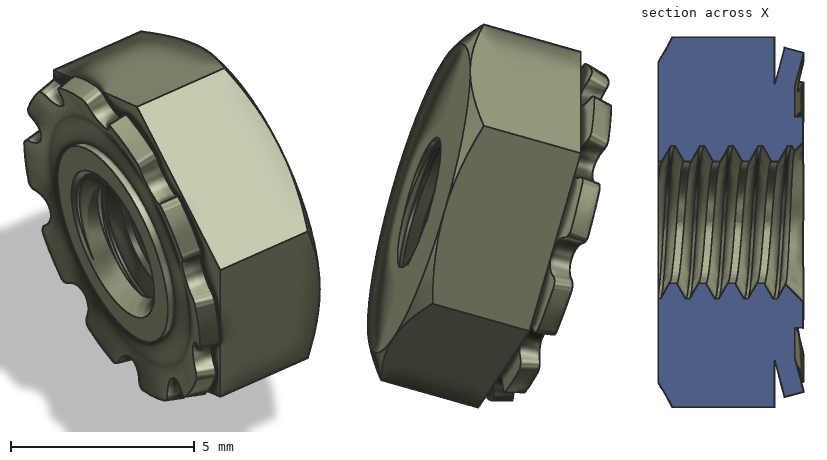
import math
import cadquery as cq


ACROSS_FLATS = 8.73
ACROSS_CORNERS = ACROSS_FLATS / math.cos(math.pi / 6)
NUT_THICKNESS = 3.175
CORNER_CHAMFER_ANGLE = math.radians(30)

COLLAR_RADIUS = 2.885
COLLAR_HEIGHT = 0.77

MINOR_RADIUS = 1.655
MAJOR_RADIUS = 2.08
PITCH = 25.4 / 32
COUNTERSINK_RADIUS = 2.17
COUNTERSINK_ANGLE = math.radians(45)
FLANK_ANGLE = math.radians(30)
ROOT_FLAT = PITCH / 8
GROOVE_OVERLAP = 0.1
THREAD_START_ANGLE = -95

TOTAL_DEPTH = 3.97
WASHER_HEIGHT = TOTAL_DEPTH - NUT_THICKNESS
TIP_RADIUS = 4.76
DISH_ANGLE = math.radians(15)
FLAT_RING_RADIUS = 3.69
WASHER_THICKNESS = 0.55

TOOTH_COUNT = 10
SCALLOP_RADIUS = 0.56
SCALLOP_CENTRE_RADIUS = 4.57
FIRST_SCALLOP_ANGLE = 28.5
TOOTH_CORNER_RADIUS = 0.25


def make_nut():
    """Hexagonal body, chamfered on the corners of its plain face, plus the collar."""
    corner_radius = ACROSS_CORNERS / 2
    flat_radius = ACROSS_FLATS / 2
    chamfer_height = (corner_radius - flat_radius) * math.tan(CORNER_CHAMFER_ANGLE)
    hexagon = (
        cq.Workplane("XY")
        .polygon(6, ACROSS_CORNERS)
        .extrude(-NUT_THICKNESS)
        .rotate((0, 0, 0), (0, 0, 1), 90)
    )
    envelope = (
        cq.Workplane("XZ")
        .moveTo(0, 0)
        .lineTo(corner_radius, 0)
        .lineTo(corner_radius, chamfer_height - NUT_THICKNESS)
        .lineTo(flat_radius, -NUT_THICKNESS)
        .lineTo(0, -NUT_THICKNESS)
        .close()
        .revolve(360, (0, 0), (0, 1))
    )
    collar = cq.Workplane("XY").circle(COLLAR_RADIUS).extrude(COLLAR_HEIGHT)
    return hexagon.intersect(envelope).union(collar)


def make_washer():
    """Dished ring with square-cut rim and rounded scallops between the teeth."""
    front_tip_radius = TIP_RADIUS - WASHER_THICKNESS * math.sin(DISH_ANGLE)
    back_tip_height = WASHER_HEIGHT - WASHER_THICKNESS * math.cos(DISH_ANGLE)
    back_bend_radius = TIP_RADIUS - back_tip_height / math.tan(DISH_ANGLE)
    flat_height = WASHER_HEIGHT - (front_tip_radius - FLAT_RING_RADIUS) * math.tan(DISH_ANGLE)
    ring = (
        cq.Workplane("XZ")
        .moveTo(COLLAR_RADIUS, 0)
        .lineTo(back_bend_radius, 0)
        .lineTo(TIP_RADIUS, back_tip_height)
        .lineTo(front_tip_radius, WASHER_HEIGHT)
        .lineTo(FLAT_RING_RADIUS, flat_height)
        .lineTo(COLLAR_RADIUS, flat_height)
        .close()
        .revolve(360, (0, 0), (0, 1))
    )
    scallops = (
        cq.Workplane("XY")
        .polarArray(SCALLOP_CENTRE_RADIUS, 0, 360, TOOTH_COUNT)
        .circle(SCALLOP_RADIUS)
        .extrude(WASHER_HEIGHT)
    )
    toothed = ring.cut(scallops)

    rim_middle_radius = (TIP_RADIUS + front_tip_radius) / 2
    rim_middle_height = (back_tip_height + WASHER_HEIGHT) / 2
    tolerance = WASHER_THICKNESS / 10

    def is_tooth_corner(edge):
        middle = edge.positionAt(0.5)
        radial_error = math.hypot(middle.x, middle.y) - rim_middle_radius
        height_error = middle.z - rim_middle_height
        return math.hypot(radial_error, height_error) < tolerance

    corners = [edge for edge in toothed.edges().vals() if is_tooth_corner(edge)]
    rounded = toothed.newObject(corners).fillet(TOOTH_CORNER_RADIUS)
    return rounded.rotate((0, 0, 0), (0, 0, 1), FIRST_SCALLOP_ANGLE)


def make_countersink():
    """Cone that opens the collar end of the bore."""
    depth = (COUNTERSINK_RADIUS - MINOR_RADIUS) / math.tan(COUNTERSINK_ANGLE)
    return (
        cq.Workplane("XZ")
        .moveTo(0, COLLAR_HEIGHT - depth)
        .lineTo(MINOR_RADIUS, COLLAR_HEIGHT - depth)
        .lineTo(COUNTERSINK_RADIUS, COLLAR_HEIGHT)
        .lineTo(0, COLLAR_HEIGHT)
        .close()
        .revolve(360, (0, 0), (0, 1))
    )


def make_bore():
    """Plain minor-diameter hole through the nut and its collar."""
    bottom = cq.Workplane("XY").workplane(offset=-NUT_THICKNESS)
    return bottom.circle(MINOR_RADIUS).extrude(NUT_THICKNESS + COLLAR_HEIGHT)


def make_thread_groove():
    """Helical right-hand groove running past both ends of the bore."""
    inner_radius = MINOR_RADIUS - GROOVE_OVERLAP
    half_root = ROOT_FLAT / 2
    half_mouth = half_root + (MAJOR_RADIUS - inner_radius) * math.tan(FLANK_ANGLE)
    start = -NUT_THICKNESS - PITCH
    length = NUT_THICKNESS + COLLAR_HEIGHT + 2 * PITCH
    path = cq.Wire.makeHelix(PITCH, length, MINOR_RADIUS, cq.Vector(0, 0, start))
    return (
        cq.Workplane("XZ")
        .polyline([
            (inner_radius, start - half_mouth),
            (MAJOR_RADIUS, start - half_root),
            (MAJOR_RADIUS, start + half_root),
            (inner_radius, start + half_mouth),
        ])
        .close()
        .sweep(cq.Workplane(obj=path), isFrenet=True)
        .rotate((0, 0, 0), (0, 0, 1), THREAD_START_ANGLE)
    )


threaded_nut = make_nut().cut(make_countersink()).cut(make_thread_groove()).cut(make_bore())
lock_nut = threaded_nut.union(make_washer())

result = lock_nut.rotate((0, 0, 0), (1, 0, 0), 90)